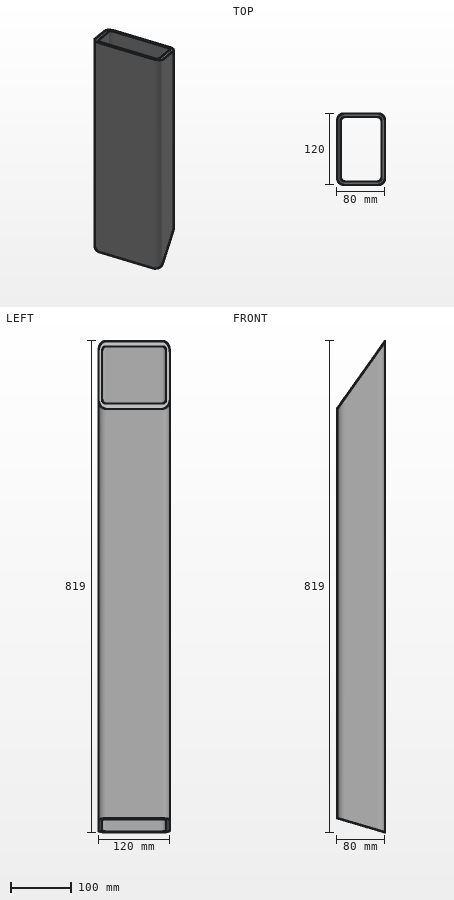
import cadquery as cq

width = 80.0
depth = 120.0
length = 819.0
wall = 6.3
outer_radius = 2 * wall
inner_radius = outer_radius - wall

top_setback = 113.0
bottom_setback = 24.0


def rounded_bar(size_x, size_y, radius):
    """Full-length bar with rounded long edges, standing on Z = 0."""
    bar = cq.Workplane("XY").rect(size_x, size_y).extrude(length)
    return bar.edges("|Z").fillet(radius)


def mitred_envelope():
    """Side profile with both slanted ends, extruded across the tube depth."""
    left = -width / 2
    right = width / 2
    profile = [
        (left, bottom_setback),
        (right, 0),
        (right, length),
        (left, length - top_setback),
    ]
    return cq.Workplane("XZ").polyline(profile).close().extrude(depth / 2, both=True)


outside = rounded_bar(width, depth, outer_radius)
bore = rounded_bar(width - 2 * wall, depth - 2 * wall, inner_radius)
result = outside.cut(bore).intersect(mitred_envelope())